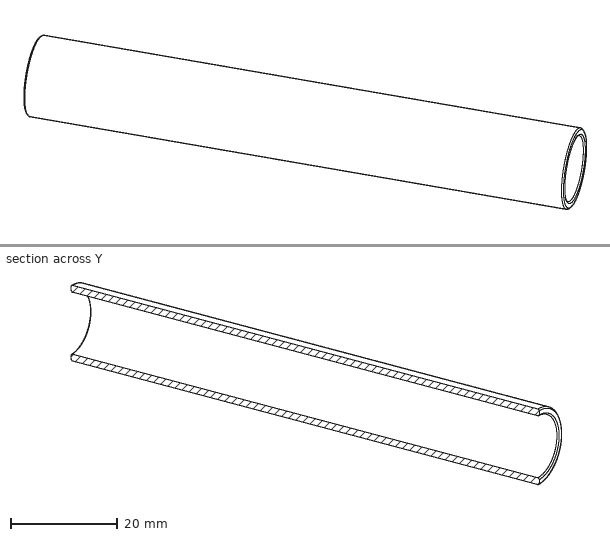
import cadquery as cq

length = 106.2
outer_diameter = 15.6
bore_diameter = 12.6
edge_chamfer = 0.3

tube = (
    cq.Workplane("YZ")
    .workplane(offset=-length / 2)
    .circle(outer_diameter / 2)
    .circle(bore_diameter / 2)
    .extrude(length)
)

result = tube.faces("<X or >X").edges().chamfer(edge_chamfer)